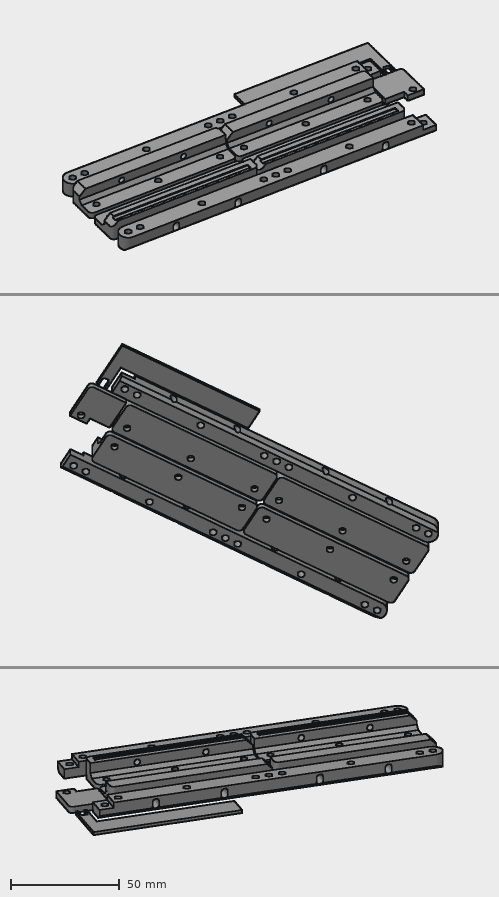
import cadquery as cq

overall_length = 179.5
overall_width = 72.5

module_pitch = 80.0
holes_per_module = 3

jaw_length = 79.3
jaw_width = 16.7
jaw_height = 10.2
jaw_base_height = 3.2
jaw_wall = 7.0
jaw_corner_radius = 2.2
jaw_inner_chamfer = 2.0
jaw_end_chamfer = 3.2
jaw_hole_diameter = 3.0
jaw_hole_inset = 4.8
jaw_hole_end = 6.1
left_jaw_x = 26.2
right_jaw_x = 61.5
groove_width = 2.7
groove_depth = 0.5
groove_inset = 1.5
groove_end_gap = 3.5

rail_width = 9.2
rail_height = 7.5
rail_length = 168.9
rail_edge_chamfer = 1.8
rail_step_length = 7.0
rail_step_height = 4.8
rail_hole_diameter = 3.2
left_rail_x = 15.5

rail_slot_width = 3.2
rail_slot_height = 4.8
rail_slot_z = 3.8
wall_hole_diameter = 2.9
wall_hole_depth = 5.4
wall_hole_z = 7.2

plate_x = left_jaw_x
plate_width = 18.8
plate_length = 19.0
plate_thickness = 3.2
plate_corner_radius = 2.0
plate_notch_width = 3.2
plate_notch_length = 10.2
plate_hole_diameter = 3.2
plate_hole_inset_x = 2.7
plate_hole_inset_y = 4.3

gauge_thickness = 1.6
gauge_top = 177.3
gauge_length = 72.5
gauge_leg_width = 10.8
gauge_reach = 24.5
gauge_arm_width = 5.4
fork_slot_width = 3.2
fork_slot_depth = 5.0
fork_corner_radius = 0.9

module_starts = [0, module_pitch]
hole_gaps = holes_per_module - 1
hole_pitch = (jaw_length - 2 * jaw_hole_end) / hole_gaps
post_offset = (module_pitch - hole_gaps * hole_pitch) / 2
screw_offsets = [i * hole_pitch for i in range(holes_per_module)]
cross_offsets = [(i + 0.5) * hole_pitch for i in range(hole_gaps)]
rail_first_hole = rail_width / 2
first_screw_y = rail_first_hole + post_offset


def block(x, y, z, width, length, height):
    """Box with its lowest corner at (x, y, z)."""
    return cq.Workplane("XY").box(width, length, height, centered=False).translate((x, y, z))


def vertical_holes(points, diameter, height):
    return cq.Workplane("XY").pushPoints(points).circle(diameter / 2).extrude(height)


def rail_slots(positions):
    """Upright rounded slots through the whole rail width."""
    points = [(y, rail_slot_z) for y in positions]
    return (
        cq.Workplane("YZ")
        .pushPoints(points)
        .slot2D(rail_slot_height, rail_slot_width, angle=90)
        .extrude(rail_width)
    )


def wall_holes(positions):
    """Blind holes drilled outwards from the inner face of a jaw wall."""
    points = [(y, wall_hole_z) for y in positions]
    return (
        cq.Workplane("YZ", origin=(jaw_wall, 0, 0))
        .pushPoints(points)
        .circle(wall_hole_diameter / 2)
        .extrude(-wall_hole_depth)
    )


def make_rail():
    """Rail with its chamfered outer side at x = 0."""
    radius = rail_width / 2
    rail = block(0, radius, 0, rail_width, rail_length - radius, rail_height)
    rail = rail.union(cq.Workplane("XY").center(radius, radius).circle(radius).extrude(rail_height))
    edge_cut = (
        cq.Workplane("XZ")
        .polyline([(0, 0), (rail_edge_chamfer, 0), (0, rail_edge_chamfer)])
        .close()
        .extrude(-rail_length)
    )
    step_cut = block(0, rail_length - rail_step_length, rail_step_height,
                     rail_width, rail_step_length, rail_height)
    post_ys = [rail_first_hole + i * module_pitch for i in range(len(module_starts) + 1)]
    screw_ys = [first_screw_y + start + s for start in module_starts for s in screw_offsets]
    points = [(radius, y) for y in post_ys + screw_ys]
    slot_ys = [first_screw_y + start + c for start in module_starts for c in cross_offsets]
    return (
        rail.cut(edge_cut)
        .cut(step_cut)
        .cut(vertical_holes(points, rail_hole_diameter, rail_height))
        .cut(rail_slots(slot_ys))
    )


def make_jaw():
    """Jaw with the outer face of its wall at x = 0 and its -Y end at y = 0."""
    chamfer_top = jaw_base_height + jaw_inner_chamfer
    jaw = (
        cq.Workplane("XZ")
        .polyline([
            (0, 0),
            (jaw_width, 0),
            (jaw_width, jaw_base_height),
            (jaw_wall + jaw_inner_chamfer, jaw_base_height),
            (jaw_wall, chamfer_top),
            (jaw_wall, jaw_height),
            (0, jaw_height),
        ])
        .close()
        .extrude(-jaw_length)
        .edges("|Z and (<X or >X)")
        .fillet(jaw_corner_radius)
    )
    end_cut = (
        cq.Workplane("YZ")
        .polyline([(0, jaw_height), (jaw_end_chamfer, jaw_height), (0, jaw_height - jaw_end_chamfer)])
        .close()
        .extrude(jaw_wall)
    )
    points = [(jaw_width - jaw_hole_inset, jaw_hole_end + s) for s in screw_offsets]
    wall_hole_ys = [jaw_hole_end + c for c in cross_offsets]
    return (
        jaw.cut(end_cut)
        .cut(vertical_holes(points, jaw_hole_diameter, jaw_height))
        .cut(wall_holes(wall_hole_ys))
    )


def make_grooved_jaw():
    groove = block(groove_inset, 0, jaw_height - groove_depth,
                   groove_width, jaw_length - groove_end_gap, groove_depth)
    return make_jaw().cut(groove)


def make_plate():
    bottom = overall_length - plate_length
    plate = block(plate_x, bottom, 0, plate_width, plate_length, plate_thickness)
    plate = plate.edges("|Z and <X and >Y").fillet(plate_corner_radius)
    right = plate_x + plate_width
    notch = block(right - plate_notch_width, bottom, 0,
                  plate_notch_width, plate_notch_length, plate_thickness)
    hole_center = (right - plate_hole_inset_x, overall_length - plate_hole_inset_y)
    return plate.cut(notch).cut(vertical_holes([hole_center], plate_hole_diameter, plate_thickness))


def make_gauge():
    leg = block(0, gauge_top - gauge_length, 0, gauge_leg_width, gauge_length, gauge_thickness)
    arm = block(0, gauge_top - gauge_arm_width, 0, gauge_reach, gauge_arm_width, gauge_thickness)
    prong = (gauge_arm_width - fork_slot_width) / 2
    slot = block(gauge_reach - fork_slot_depth, gauge_top - prong - fork_slot_width, 0,
                 fork_slot_depth, fork_slot_width, gauge_thickness)
    slot = slot.edges("|Z and <X").fillet(fork_corner_radius)
    return leg.union(arm).cut(slot)


def on_left(body, x, y=0):
    return body.translate((x, y, 0))


def on_right(body, x, y=0):
    return body.mirror("YZ").translate((x, y, 0))


left_rail = on_left(make_rail(), left_rail_x)
right_rail = on_right(make_rail(), overall_width)
left_jaws = [on_left(make_jaw(), left_jaw_x, start) for start in module_starts]
right_jaws = [on_right(make_grooved_jaw(), right_jaw_x, start) for start in module_starts]
corner_plate = make_plate()
gauge = make_gauge()

bodies = [left_rail, right_rail, *left_jaws, *right_jaws, corner_plate, gauge]
result = cq.Compound.makeCompound([body.val() for body in bodies])